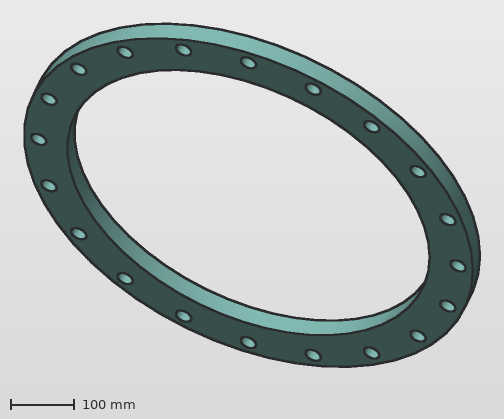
import cadquery as cq

outer_diameter = 755.0
bore_diameter = 609.0
thickness = 32.0

bolt_circle_diameter = 705.0
bolt_hole_diameter = 26.0
bolt_hole_count = 20

ring = (
    cq.Workplane("XZ")
    .circle(outer_diameter / 2)
    .circle(bore_diameter / 2)
    .extrude(thickness)
)

bolt_holes = (
    cq.Workplane("XZ")
    .polarArray(bolt_circle_diameter / 2, 0, 360, bolt_hole_count)
    .circle(bolt_hole_diameter / 2)
    .extrude(thickness)
)

result = ring.cut(bolt_holes)